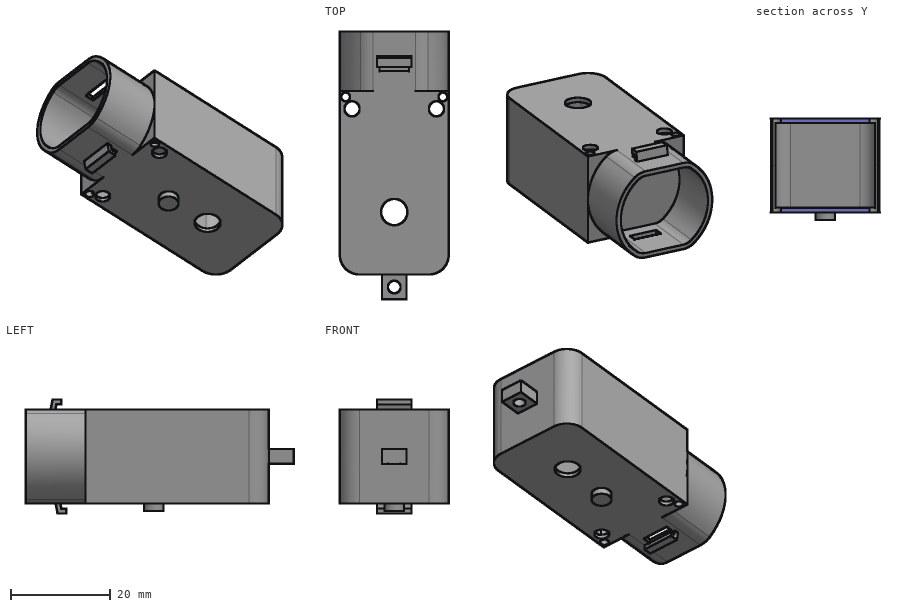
import cadquery as cq
import math

WIDTH = 22.0
HEIGHT = 19.0
GEAR_LENGTH = 37.0
CORNER_RADIUS = 4.0
WALL = 1.0

SLEEVE_LENGTH = 12.0
SLEEVE_RADIUS = WIDTH / 2
SLEEVE_BLEND = 4.0
REAR = GEAR_LENGTH + SLEEVE_LENGTH

TAB_WIDTH = 5.0
TAB_LENGTH = 5.0
TAB_HEIGHT = 3.0
TAB_HOLE = 2.5

SHAFT_HOLE = 5.25
SHAFT_Y = 12.6
SCREW_HOLE = 3.0
SCREW_X = 8.5
SCREW_Y = 33.4
PIN_HOLE = 1.75
PIN_X = 9.8
PIN_Y = 35.8

POST_DIAMETER = 4.0
POST_LENGTH = 1.5
POST_Y = 23.2

HOOK_WIDTH = 7.0
HOOK_HEIGHT = 2.0
HOOK_THICKNESS = 1.0
HOOK_LEAN = 0.4
HOOK_REACH = 2.2
TOP_HOOK_SETBACK = 5.0
BOTTOM_HOOK_SETBACK = 6.0
SLOT_WIDTH = 6.0
SLOT_LENGTH = 2.0


def make_gear_box(inset):
    """Box with rounded front vertical edges, shrunk on every side by the inset."""
    length = GEAR_LENGTH - 2 * inset
    return (
        cq.Workplane("XY")
        .box(WIDTH - 2 * inset, length, HEIGHT - 2 * inset)
        .translate((0, GEAR_LENGTH / 2, 0))
        .edges("|Z and <Y")
        .fillet(CORNER_RADIUS - inset)
    )


def make_sleeve(inset):
    """Barrel whose flats and round sides meet in tangent arcs, shrunk by the inset."""
    radius = SLEEVE_RADIUS - inset
    half_height = HEIGHT / 2 - inset
    blend = SLEEVE_BLEND - inset

    center_z = half_height - blend
    center_x = math.sqrt((radius - blend) ** 2 - center_z ** 2)
    blend_angle = math.atan2(center_z, center_x)
    tangent_x = radius * math.cos(blend_angle)
    tangent_z = radius * math.sin(blend_angle)
    middle_angle = (blend_angle + math.pi / 2) / 2
    middle_x = center_x + blend * math.cos(middle_angle)
    middle_z = center_z + blend * math.sin(middle_angle)

    return (
        cq.Workplane("XZ", origin=(0, REAR, 0))
        .moveTo(-center_x, half_height)
        .lineTo(center_x, half_height)
        .threePointArc((middle_x, middle_z), (tangent_x, tangent_z))
        .threePointArc((radius, 0), (tangent_x, -tangent_z))
        .threePointArc((middle_x, -middle_z), (center_x, -half_height))
        .lineTo(-center_x, -half_height)
        .threePointArc((-middle_x, -middle_z), (-tangent_x, -tangent_z))
        .threePointArc((-radius, 0), (-tangent_x, tangent_z))
        .threePointArc((-middle_x, middle_z), (-center_x, half_height))
        .close()
        .extrude(SLEEVE_LENGTH)
    )


def make_housing():
    """Gear box and sleeve, hollowed with a partition left between their cavities."""
    shell = make_gear_box(0).union(make_sleeve(0))
    return shell.cut(make_gear_box(WALL)).cut(make_sleeve(WALL))


def make_tab():
    """Flat tab ahead of the front face with a vertical hole in its middle."""
    return (
        cq.Workplane("XY")
        .box(TAB_WIDTH, TAB_LENGTH, TAB_HEIGHT)
        .faces(">Z")
        .workplane()
        .hole(TAB_HOLE)
        .translate((0, -TAB_LENGTH / 2, 0))
    )


def make_post():
    """Round post hanging below the bottom wall."""
    return (
        cq.Workplane("XY", origin=(0, POST_Y, -HEIGHT / 2))
        .circle(POST_DIAMETER / 2)
        .extrude(-POST_LENGTH)
    )


def make_wall_holes():
    """Cutters for the shaft hole and the mirrored screw and pin holes."""
    holes = [(0, SHAFT_Y, SHAFT_HOLE)]
    for side in (-1, 1):
        holes.append((side * SCREW_X, SCREW_Y, SCREW_HOLE))
        holes.append((side * PIN_X, PIN_Y, PIN_HOLE))

    cutters = cq.Workplane("XY")
    for x, y, diameter in holes:
        cutter = cq.Workplane("XY").center(x, y).circle(diameter / 2).extrude(HEIGHT, both=True)
        cutters = cutters.union(cutter)
    return cutters


def make_hook(setback, side):
    """Leaning hook that points forward; side is 1 for the top and -1 for the bottom."""
    back = REAR - setback
    front = back - HOOK_THICKNESS
    tip = back - HOOK_REACH
    base = HEIGHT / 2
    top = base + HOOK_HEIGHT
    underside = top - HOOK_THICKNESS
    underside_lean = HOOK_LEAN * (underside - base) / HOOK_HEIGHT
    profile = [
        (back, base),
        (back - HOOK_LEAN, top),
        (tip, top),
        (tip, underside),
        (front - underside_lean, underside),
        (front, base),
    ]
    return (
        cq.Workplane("YZ")
        .polyline([(y, side * z) for y, z in profile])
        .close()
        .extrude(HOOK_WIDTH / 2, both=True)
    )


def make_slot(setback, side):
    """Cutter for the slot through the sleeve wall just ahead of a hook."""
    center_y = REAR - setback - HOOK_THICKNESS - SLOT_LENGTH / 2
    center_z = side * (HEIGHT - WALL) / 2
    return cq.Workplane("XY").box(SLOT_WIDTH, SLOT_LENGTH, WALL).translate((0, center_y, center_z))


result = make_housing().cut(make_wall_holes()).union(make_tab()).union(make_post())
for hook_setback, hook_side in ((TOP_HOOK_SETBACK, 1), (BOTTOM_HOOK_SETBACK, -1)):
    result = result.cut(make_slot(hook_setback, hook_side)).union(make_hook(hook_setback, hook_side))